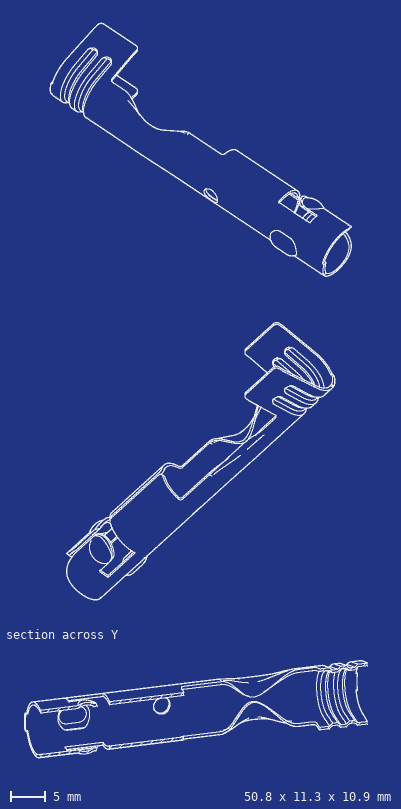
import cadquery as cq
import math


sheet = 0.45
length = 50.8
far = 20.0

barrel_radius = 4.06
upper_radius = 3.97
upper_offset = barrel_radius - upper_radius
barrel_start = 22.2
barrel_end = 50.5
ring_start = 28.5
open_barrel_height = 0.41
seam_gap = 0.46
ring_step_fillet = 0.4
ring_corner = 0.9
nose_corner = 3.3
end_tab_width = 2.6

crimp_end = 10.5
flare_angle = math.radians(11.8)
tangent_height = -0.66
crimp_radius = (tangent_height + barrel_radius) / (1 - math.sin(flare_angle))
crimp_center = crimp_radius - barrel_radius
crimp_wall_height = 0.17
wing_tip = 6.75
wing_end = 7.72
wing_fillet = 0.5
wing_corner = 0.6
bend_start = 5.13
bend_end = 5.77
edge_x_at_bottom = 0.2
edge_x_at_tip = 0.55

neck_middle = 16.7
neck_flat = 1.9
neck_top = -1.36
neck_half_width = 3.22
neck_side_height = -1.95
neck_rim_radius = neck_top - neck_side_height
neck_lower_radius = 1.65
neck_edge = 0.4
neck_steps = 4

bead_positions = (2.75, 5.35)
bead_width = 1.7
bead_floor = 0.75
bead_depth = 0.4
bead_tip = 2.9
bead_overrun = 1.0

hole_x = 29.9
hole_diameter = 2.5

window_start = 39.9
window_end = 45.73
window_bottom = -0.9
tongue_tip = 41.5
tongue_gap = 1.4
tongue_angle = 44.5
tongue_radius = 2.3
tongue_bottom = 0.78
dome_x = 43.5
dome_angle = 47.0
dome_radius = 2.73
dome_height = 0.43

stop_x = 43.4
stop_straight = 1.8
stop_height = 0.46
stop_top_radius = 1.2
stop_flank_angle = 36
stop_fillet = 0.4


def box(x_range, y_range, z_range):
    size = [high - low for low, high in (x_range, y_range, z_range)]
    corner = (x_range[0], y_range[0], z_range[0])
    return cq.Workplane("XY").box(*size, centered=False).translate(corner)


def both_sides(half):
    return half.union(half.mirror("XY"))


def on_circle(center, radius, angle):
    """Point at an angle measured from -Y towards +Z."""
    return (center - radius * math.cos(angle), radius * math.sin(angle))


def wall_arc(sketch, center, radius, start, end):
    middle = on_circle(center, radius, (start + end) / 2)
    return sketch.threePointArc(middle, on_circle(center, radius, end))


def wing_line(depth, height):
    """Distance from the XY plane of the wing skin, at a depth below its outer face."""
    start_y, start_z = on_circle(crimp_center, crimp_radius - depth, math.pi / 2 - flare_angle)
    return start_z + (height - start_y) * math.tan(flare_angle)


def mirrored(point):
    return (point[0], -point[1])


def round_skin(center, radius, top_angle, edge):
    """Half skin of a round wall: bottom, flank arc in quarters up to the wall top, free edge."""
    split = math.asin(neck_flat / radius)
    flank = [split + (top_angle - split) * quarter / 4 for quarter in range(5)]
    return [on_circle(center, radius, angle) for angle in (0, *flank)] + [edge]


def crimp_skin(depth):
    edge = (crimp_wall_height, wing_line(depth, crimp_wall_height))
    return round_skin(crimp_center, crimp_radius - depth, math.pi / 2 - flare_angle, edge)


def barrel_skin(depth):
    radius = upper_radius - depth
    edge = (open_barrel_height, upper_offset + math.sqrt(radius**2 - open_barrel_height**2))
    return round_skin(0, barrel_radius - depth, math.pi / 2, edge)


def neck_skin(depth):
    """Half skin of the folded neck, with the same points as a round skin."""
    radius = barrel_radius - depth
    lower_radius = neck_lower_radius - depth
    rim_radius = neck_rim_radius - depth
    lower_center_z = neck_half_width - neck_lower_radius
    rim_center_z = neck_half_width - neck_rim_radius
    diagonal = math.sqrt(0.5)
    return [
        (-radius, 0),
        on_circle(0, radius, math.asin(neck_flat / radius)),
        (neck_side_height - lower_radius * diagonal, lower_center_z + lower_radius * diagonal),
        (neck_side_height, neck_half_width - depth),
        (neck_side_height + rim_radius * diagonal, rim_center_z + rim_radius * diagonal),
        (neck_top - depth, rim_center_z),
        (neck_top - depth, neck_edge),
    ]


def blended(from_skin, to_skin, share):
    return [
        (y0 + share * (y1 - y0), z0 + share * (z1 - z0))
        for (y0, z0), (y1, z1) in zip(from_skin, to_skin)
    ]


def section_wire(x, outer, inner):
    """Closed section of an open wall, from one free edge round the bottom to the other."""
    bottom, split, lower, side, upper, top, edge = outer
    sketch = (
        cq.Workplane("YZ", origin=(x, 0, 0))
        .moveTo(*mirrored(edge))
        .lineTo(*mirrored(top))
        .threePointArc(mirrored(upper), mirrored(side))
        .threePointArc(mirrored(lower), mirrored(split))
        .threePointArc(bottom, split)
        .threePointArc(lower, side)
        .threePointArc(upper, top)
        .lineTo(*edge)
    )
    bottom, split, lower, side, upper, top, edge = inner
    sketch = (
        sketch.lineTo(*edge)
        .lineTo(*top)
        .threePointArc(upper, side)
        .threePointArc(lower, split)
        .threePointArc(bottom, mirrored(split))
        .threePointArc(mirrored(lower), mirrored(side))
        .threePointArc(mirrored(upper), mirrored(top))
        .lineTo(*mirrored(edge))
    )
    return sketch.close().val()


def neck_half(end_x, end_skin):
    """Wall running from a round end section to the middle of the neck, easing in and out."""
    wires = []
    for step in range(neck_steps + 1):
        run = step / neck_steps
        eased = run**2 * (3 - 2 * run)
        skins = [blended(end_skin(depth), neck_skin(depth), eased) for depth in (0, sheet)]
        wires.append(section_wire(end_x + run * (neck_middle - end_x), *skins))
    return cq.Workplane(cq.Solid.makeLoft(wires))


def make_neck():
    return neck_half(crimp_end, crimp_skin).union(neck_half(barrel_start, barrel_skin))


def crimp_block(depth):
    """Solid inside the crimp skin at a depth below the outer face, open to +Y at the tips."""
    radius = crimp_radius - depth
    tangent = math.pi / 2 - flare_angle
    tip_z = wing_line(depth, (bend_start + bend_end) / 2)
    sketch = cq.Workplane("YZ").moveTo(-barrel_radius + depth, 0)
    sketch = wall_arc(sketch, crimp_center, radius, 0, tangent)
    half = (
        sketch.lineTo(bend_start, wing_line(depth, bend_start))
        .tangentArcPoint((bend_end, tip_z), relative=False)
        .lineTo(wing_tip, tip_z)
        .lineTo(wing_tip, 0)
        .close()
        .extrude(crimp_end)
    )
    return both_sides(half)


def crimp_outline():
    """Side outline of the crimp: slanted entry edge, wings and low wall behind them."""
    outline = (
        cq.Workplane("XY")
        .moveTo(edge_x_at_bottom, -barrel_radius)
        .lineTo(edge_x_at_tip, wing_tip)
        .lineTo(wing_end, wing_tip)
        .lineTo(wing_end, crimp_wall_height)
        .lineTo(crimp_end, crimp_wall_height)
        .lineTo(crimp_end, -barrel_radius)
        .close()
        .extrude(far, both=True)
    )
    outline = outline.edges(cq.selectors.NearestToPointSelector((wing_end, crimp_wall_height, 0)))
    outline = outline.fillet(wing_fillet)
    outline = outline.edges("|Z and >Y").fillet(wing_corner)
    half_tab = end_tab_width / 2
    return outline.union(box((0, crimp_end), (-barrel_radius, -half_tab), (-half_tab, half_tab)))


def bead(x, depth):
    """Tapered bar following the crimp skin, its wide side at a depth below the outer face."""
    radius = crimp_radius - depth
    tangent = math.pi / 2 - flare_angle
    end_y = bead_tip + bead_overrun
    end_z = wing_line(depth, end_y)
    right = on_circle(crimp_center, radius, tangent)
    path = (
        cq.Workplane("YZ", origin=(x, 0, 0))
        .moveTo(end_y, -end_z)
        .lineTo(*mirrored(right))
        .threePointArc((crimp_center - radius, 0), right)
        .lineTo(end_y, end_z)
    )
    start = (x, end_y, -end_z)
    along_wing = (0, -math.cos(flare_angle), math.sin(flare_angle))
    profile = (
        cq.Workplane(cq.Plane(start, (1, 0, 0), along_wing))
        .moveTo(-bead_width / 2, 0)
        .lineTo(bead_width / 2, 0)
        .lineTo(bead_floor / 2, bead_depth)
        .lineTo(-bead_floor / 2, bead_depth)
        .close()
    )
    rounded_ends = (
        cq.Workplane("XY")
        .center(x, bead_tip - far / 2)
        .slot2D(far, bead_width, 90)
        .extrude(far, both=True)
    )
    return profile.sweep(path).intersect(rounded_ends)


def make_crimp():
    crimp = crimp_block(0).cut(crimp_block(sheet)).intersect(crimp_outline())
    for x in bead_positions:
        crimp = crimp.union(bead(x, sheet)).cut(bead(x, 0))
    return crimp


def radial_plane(x, angle, radius=0.0):
    """Plane with local x along X and its normal pointing outward at an angle from +Y to +Z."""
    turn = math.radians(angle)
    normal = (0, math.cos(turn), math.sin(turn))
    origin = (x, radius * normal[1], radius * normal[2])
    return cq.Workplane(cq.Plane(origin, (1, 0, 0), normal))


def half_barrel_block(depth):
    """Solid inside the +Z half of the barrel skin, at a depth below the outer face.

    The upper quarter has a smaller radius, centred off the axis and tangent to the lower one.
    """
    radius = barrel_radius - depth
    quarter = upper_radius - depth
    diagonal = quarter * math.sqrt(0.5)
    return (
        cq.Workplane("YZ", origin=(barrel_start, 0, 0))
        .moveTo(-radius, 0)
        .threePointArc(on_circle(0, radius, math.pi / 4), (0, radius))
        .threePointArc((diagonal, upper_offset + diagonal), (quarter, upper_offset))
        .lineTo(quarter, 0)
        .close()
        .extrude(length - barrel_start)
    )


def barrel_side_outline():
    outline = (
        cq.Workplane("XY")
        .moveTo(barrel_start, -barrel_radius)
        .lineTo(barrel_start, open_barrel_height)
        .lineTo(ring_start, open_barrel_height)
        .lineTo(ring_start, barrel_radius)
        .lineTo(length, barrel_radius)
        .lineTo(length, -barrel_radius)
        .close()
        .extrude(far, both=True)
    )
    inner_corner = cq.selectors.NearestToPointSelector((ring_start, open_barrel_height, 0))
    return outline.edges(inner_corner).fillet(ring_step_fillet)


def seam_edges():
    """Half of the rolled ring seen from the seam side; the gap widens between the tongues."""
    ring = box((ring_start, window_start), (0, far), (seam_gap / 2, far))
    ring = ring.edges("|Y and <X and <Z").fillet(ring_corner)
    nose = box((window_start, barrel_end), (0, far), (tongue_gap / 2, far))
    nose = nose.edges("|Y and >X and <Z").fillet(nose_corner)
    return ring.union(nose)


def tongue_prism():
    """Round-ended outline of the +Z tongue, seen along its middle radius."""
    tip_center = tongue_tip + tongue_radius
    bar_length = window_end - tip_center
    tip = radial_plane(tip_center, tongue_angle).circle(tongue_radius).extrude(far)
    bar = (
        radial_plane(tip_center + bar_length / 2, tongue_angle)
        .rect(bar_length, 2 * tongue_radius)
        .extrude(far)
    )
    return tip.union(bar).intersect(box((0, length), (tongue_bottom, far), (0, far)))


def dome(radius):
    """Ball whose cap stands out of the tongue; a smaller ball hollows it."""
    center = radial_plane(dome_x, dome_angle, barrel_radius + dome_height - dome_radius)
    return center.sphere(radius)


def barrel_outline():
    """What is kept of the +Z half: lower trough, open wall, trimmed seam edge and end tab."""
    wall_top = open_barrel_height + ring_step_fillet
    trough = box((barrel_start, barrel_end), (-far, 0), (0, far))
    wall = box((barrel_start, ring_start + ring_corner), (-far, wall_top), (0, far))
    tab = box((barrel_start, length), (-far, 0), (0, end_tab_width / 2))
    return trough.union(wall).union(tab).union(seam_edges())


def make_barrel():
    half = half_barrel_block(0).union(dome(dome_radius)).cut(half_barrel_block(sheet))
    half = half.cut(dome(dome_radius - sheet)).intersect(barrel_side_outline())
    half = half.intersect(barrel_outline())
    window = box((window_start, window_end), (window_bottom, far), (0, far))
    half = half.cut(window.cut(tongue_prism()))
    return both_sides(half)


def stop(depth):
    """Oval boss with sloping flanks, its top at a depth below the finished stop."""
    top_y = -barrel_radius - stop_height + depth
    return (
        cq.Workplane("XZ", origin=(stop_x, top_y, 0))
        .slot2D(stop_straight + 2 * stop_top_radius, 2 * stop_top_radius)
        .extrude(-(stop_height + sheet), taper=-stop_flank_angle)
    )


def sight_hole():
    return (
        cq.Workplane("XZ")
        .center(hole_x, 0)
        .circle(hole_diameter / 2)
        .extrude(far)
    )


barrel_bore = both_sides(half_barrel_block(sheet))
terminal = make_crimp().union(make_neck()).union(make_barrel())
stop_shell = stop(0).faces("<Y").edges().fillet(stop_fillet).cut(barrel_bore)
terminal = terminal.union(stop_shell).cut(stop(sheet))
result = terminal.cut(sight_hole())